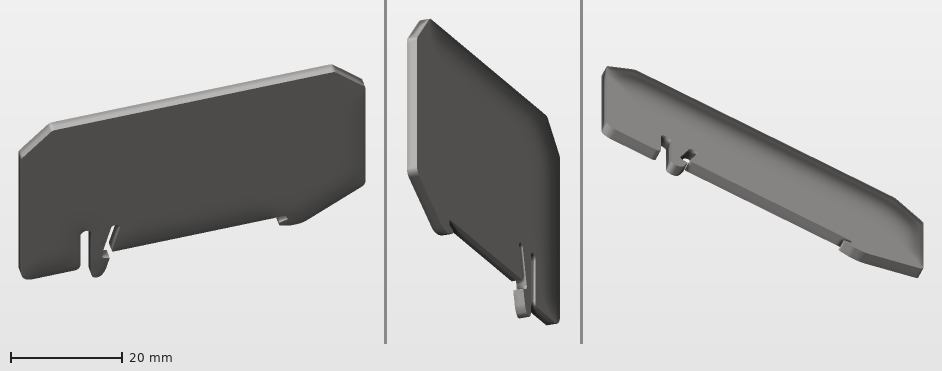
import cadquery as cq
import math

thickness = 2.0
width = 64.4
height = 41.7
side = width / 2
base_z = 3.1
top_chamfer = 5.8
top_round = 0.95

slope_angle = math.radians(30)
slope_start_z = 9.9
slope_round = 1.6
heel_round = 3.85
rail_z = 6.0
hook_wall_y = 17.65
hook_top_z = 4.9
hook_base_y = 18.0
hook_tip_y = 16.0
hook_top_angle = math.radians(15)
hook_under_angle = math.radians(18)
hook_under_round = 1.9
hook_tip_round = 0.45
notch_round = 0.1

slant = math.radians(15)
slant_radius = 0.85
slant_center_y = -14.6
slant_center_z = 12.2
rail_end_round = 0.4
catch_distance = 7.65
catch_depth = 1.8
catch_root_round = 0.8
catch_tip_round = 0.05
catch_flank = 3.3

leg_back_y = -19.05
leg_toe_y = -17.4
leg_front_round = 3.2
leg_toe_round = 1.15
leg_back_round = 0.95
slot_width = 2.1
slot_top_z = 13.0
foot_inner_round = 1.0
foot_outer_round = 1.9

coincident = 6.44e-07


def slant_point(across, down):
    """Point in the slanted slot's frame: across toward -Y, down along its axis."""
    return (
        slant_center_y - across * math.cos(slant) - down * math.sin(slant),
        slant_center_z + across * math.sin(slant) - down * math.cos(slant),
    )


def rounded_outline(corners):
    """Closed YZ outline from (point, radius) corners; radius 0 stays sharp."""
    stretches = []
    for i, (point, radius) in enumerate(corners):
        corner = cq.Vector(*point)
        to_previous = (cq.Vector(*corners[i - 1][0]) - corner).normalized()
        to_next = (cq.Vector(*corners[(i + 1) % len(corners)][0]) - corner).normalized()
        half_angle = to_previous.getAngle(to_next) / 2
        setback = radius / math.tan(half_angle)
        bisector = (to_previous + to_next).normalized()
        middle = corner + bisector * (radius / math.sin(half_angle) - radius)
        stretches.append((corner + to_previous * setback, middle, corner + to_next * setback, radius))

    first_start = stretches[0][0]
    outline = cq.Workplane("YZ").moveTo(first_start.x, first_start.y)
    position = first_start
    for start, middle, end, radius in stretches:
        if (start - position).Length > coincident:
            outline = outline.lineTo(start.x, start.y)
        if radius > 0:
            outline = outline.threePointArc((middle.x, middle.y), (end.x, end.y))
        position = end
    return outline.close()


def upper_corners():
    chamfer_y = side - top_chamfer
    chamfer_z = height - top_chamfer
    return [
        ((-side, chamfer_z), top_round),
        ((-chamfer_y, height), top_round),
        ((chamfer_y, height), top_round),
        ((side, chamfer_z), top_round),
    ]


def hook_corners():
    heel_y = side - (slope_start_z - base_z) / math.tan(slope_angle)
    tip_top_z = hook_top_z - (hook_wall_y - hook_tip_y) * math.tan(hook_top_angle)
    tip_bottom_z = base_z + (hook_base_y - hook_tip_y) * math.tan(hook_under_angle)
    return [
        ((side, slope_start_z), slope_round),
        ((heel_y, base_z), heel_round),
        ((hook_base_y, base_z), hook_under_round),
        ((hook_tip_y, tip_bottom_z), hook_tip_round),
        ((hook_tip_y, tip_top_z), hook_tip_round),
        ((hook_wall_y, hook_top_z), 0),
        ((hook_wall_y, rail_z), notch_round),
    ]


def slanted_slot_corners():
    rail_end_distance = (slant_center_z - slant_radius * math.sin(slant) - rail_z) / math.cos(slant)
    return [
        (slant_point(-slant_radius, rail_end_distance), rail_end_round),
        (slant_point(-slant_radius, -slant_radius), slant_radius),
        (slant_point(slant_radius, -slant_radius), slant_radius),
    ]


def spring_leg_corners():
    catch_tip = slant_radius - catch_depth
    return [
        (slant_point(slant_radius, catch_distance), catch_root_round),
        (slant_point(catch_tip, catch_distance), catch_tip_round),
        (slant_point(catch_tip, catch_distance + catch_flank), leg_front_round),
        ((leg_toe_y, 0), leg_toe_round),
        ((leg_back_y, 0), leg_back_round),
    ]


def foot_corners():
    foot_y = leg_back_y - slot_width
    slot_radius = slot_width / 2
    return [
        ((leg_back_y, slot_top_z), slot_radius),
        ((foot_y, slot_top_z), slot_radius),
        ((foot_y, base_z), foot_inner_round),
        ((-side, base_z), foot_outer_round),
    ]


corners = (
    upper_corners()
    + hook_corners()
    + slanted_slot_corners()
    + spring_leg_corners()
    + foot_corners()
)
result = rounded_outline(corners).extrude(thickness / 2, both=True)